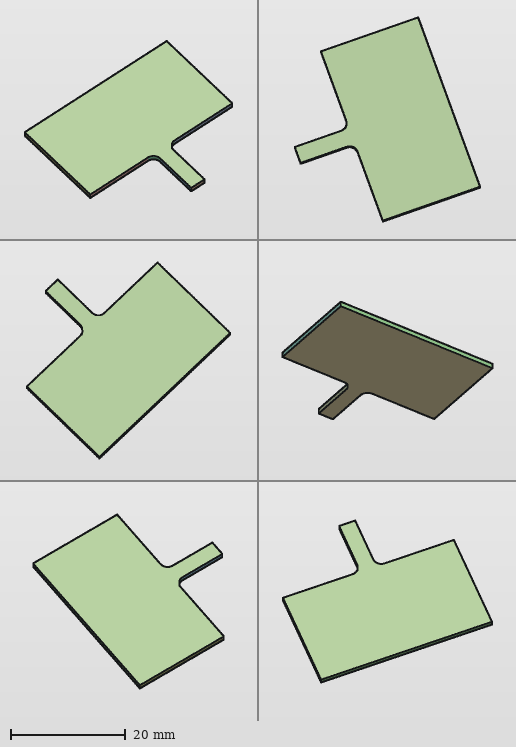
import cadquery as cq

total_length = 28.0
plate_length = 18.0
plate_width = 32.0
thickness = 1.0
tab_width = 3.0
corner_radius = 1.5

plate = cq.Workplane("XY").box(plate_length, plate_width, thickness, centered=(False, True, False))

tab = cq.Workplane("XY").box(total_length, tab_width, thickness, centered=(False, True, False))

inside_corners = cq.selectors.BoxSelector(
    (plate_length - corner_radius, -tab_width, 0),
    (plate_length + corner_radius, tab_width, thickness),
)
result = plate.union(tab).edges("|Z").edges(inside_corners).fillet(corner_radius)